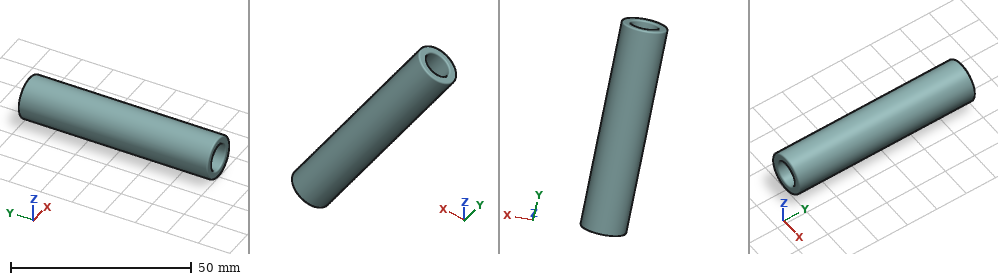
import cadquery as cq

length = 60.0
outer_diameter = 13.0
bore_diameter = 8.0
edge_radius = 0.5

tube = (
    cq.Workplane("XZ", origin=(0, length / 2, 0))
    .circle(outer_diameter / 2)
    .circle(bore_diameter / 2)
    .extrude(length)
)

result = tube.faces("<Y or >Y").edges().fillet(edge_radius)